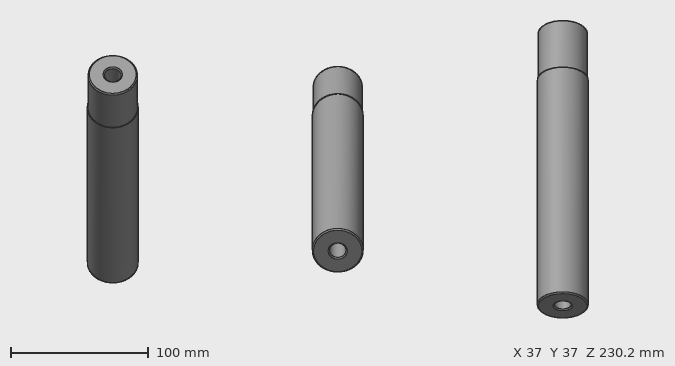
import cadquery as cq

length = 230.2
body_diameter = 37.0
neck_diameter = 36.0
neck_length = 40.0
bore_diameter = 12.0
edge_chamfer = 1.0
bore_chamfer = 1.0

body_length = length - neck_length

body = cq.Workplane("XY").circle(body_diameter / 2).extrude(body_length)
body = body.faces("<Z").chamfer(edge_chamfer)

neck = cq.Workplane("XY").workplane(offset=body_length).circle(neck_diameter / 2).extrude(neck_length)
neck = neck.faces(">Z").chamfer(edge_chamfer)

result = body.union(neck)
result = result.faces(">Z").workplane().hole(bore_diameter)
result = result.edges(cq.selectors.RadiusNthSelector(0)).chamfer(bore_chamfer)